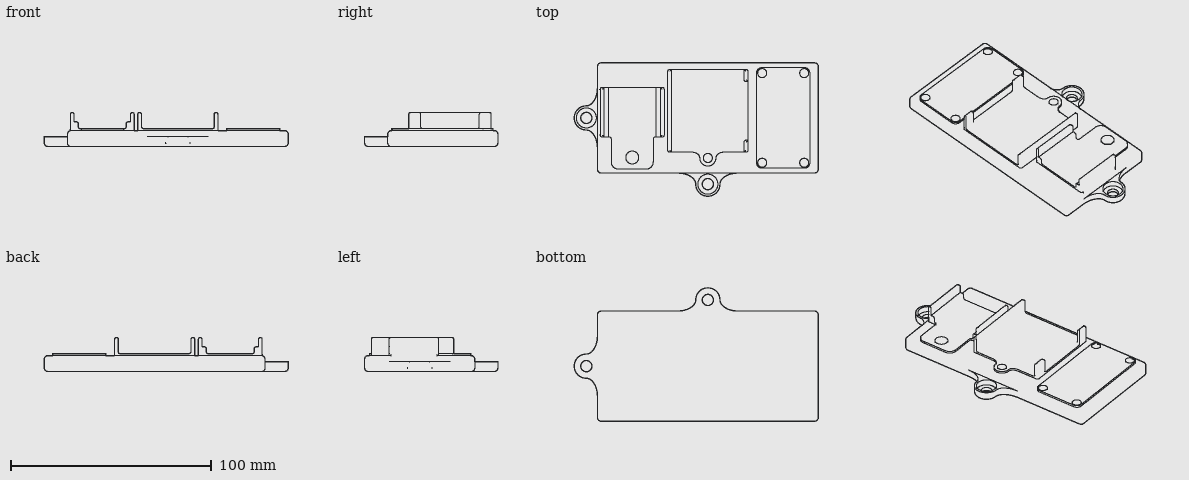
import cadquery as cq
import math

PLATE_LENGTH = 110.0
PLATE_WIDTH = 54.9
PLATE_HEIGHT = 8.0
PLATE_ROUND = 2.0

LUG_RADIUS = 6.1
LUG_REACH = 5.5
LUG_HALF_ROOT = 15.1
LUG_HEIGHT = 5.0
LUG_HOLE_DIAMETER = 5.5
LUG_COUNTERBORE_DIAMETER = 10.0
LUG_COUNTERBORE_DEPTH = 3.0
SIDE_LUG_Y = PLATE_WIDTH / 2
FRONT_LUG_X = PLATE_LENGTH / 2

PAD_TOP = 9.0
PAD_BASE = PLATE_HEIGHT - PLATE_ROUND
WALL_TOP = 17.0
WALL_THICKNESS = 2.0
EDGE_ROUND = 0.96
PILOT_DIAMETER = 4.5
PILOT_DEPTH = 6.1

CLIP_CENTER_X = 17.4
CLIP_HALF_WIDTH = 15.9
CLIP_Y_MIN = 18.0
CLIP_Y_MAX = 42.6
LEDGE_WIDTH = 2.1
LEDGE_TOP = 12.4
TONGUE_WIDTH = 20.9
TONGUE_CORNER_RADIUS = 3.6
TONGUE_NOTCH_RADIUS = 1.0
TONGUE_HOLE_DIAMETER = 6.5
TONGUE_HOLE_Y = 7.8

TRAY_X_MIN = 35.0
TRAY_X_MAX = 75.0
TRAY_Y_MIN = 10.5
TRAY_Y_MAX = 51.5
POST_LENGTH = 6.0
TAB_RADIUS = 4.0
TAB_REACH = 2.9
TAB_HALF_ROOT = 8.0
TAB_X = PLATE_LENGTH / 2

SCREW_PAD_CENTER_X = 92.5
SCREW_PAD_LENGTH = 26.5
SCREW_PAD_WIDTH = 50.0
SCREW_SPACING_X = 20.9
SCREW_SPACING_Y = 44.6
SCREW_PAD_CORNER_RADIUS = 2.7


def block(x_min, x_max, y_min, y_max, z_min, z_max):
    return (
        cq.Workplane("XY", origin=(x_min, y_min, z_min))
        .box(x_max - x_min, y_max - y_min, z_max - z_min, centered=False)
    )


def drill(center, diameter, z_min, z_max):
    return (
        cq.Workplane("XY", origin=(*center, z_min))
        .circle(diameter / 2)
        .extrude(z_max - z_min)
    )


def flared_lug(radius, reach, half_root, inset, height):
    """Round-ended lug reaching to -Y from Y = 0, with quarter-ellipse flares at its root.

    The inset is how far it continues to +Y, inside the body it joins.
    """
    flare_x = half_root - radius
    return (
        cq.Workplane("XY")
        .moveTo(-half_root, inset)
        .lineTo(-half_root, 0)
        .ellipseArc(flare_x, reach, 0, 90, sense=-1, startAtCurrent=True)
        .threePointArc((0, -reach - radius), (radius, -reach))
        .ellipseArc(flare_x, reach, 90, 180, sense=-1, startAtCurrent=True)
        .lineTo(half_root, inset)
        .close()
        .extrude(height)
    )


def make_base():
    plate = block(0, PLATE_LENGTH, 0, PLATE_WIDTH, 0, PLATE_HEIGHT)
    plate = plate.edges("|Z").fillet(PLATE_ROUND).faces(">Z").edges().fillet(PLATE_ROUND)
    lug = flared_lug(LUG_RADIUS, LUG_REACH, LUG_HALF_ROOT, LUG_RADIUS, LUG_HEIGHT)
    front_lug = lug.translate((FRONT_LUG_X, 0, 0))
    side_lug = lug.rotate((0, 0, 0), (0, 0, 1), -90).translate((0, SIDE_LUG_Y, 0))
    base = plate.union(front_lug).union(side_lug)
    base = base.faces("<Z").edges().fillet(PLATE_ROUND)
    counterbore_floor = LUG_HEIGHT - LUG_COUNTERBORE_DEPTH
    for center in ((FRONT_LUG_X, -LUG_REACH), (-LUG_REACH, SIDE_LUG_Y)):
        base = base.cut(drill(center, LUG_HOLE_DIAMETER, 0, LUG_HEIGHT))
        base = base.cut(drill(center, LUG_COUNTERBORE_DIAMETER, counterbore_floor, LUG_HEIGHT))
    return base


def make_wall(x_min, y_min, y_max):
    """Upright wall along Y with rounded outer (-X) corners and a rounded top."""
    wall = block(x_min, x_min + WALL_THICKNESS, y_min, y_max, PAD_BASE, WALL_TOP)
    return wall.edges("|Z and <X").fillet(EDGE_ROUND).faces(">Z").edges().fillet(EDGE_ROUND)


def make_ledge(x_wall):
    """Ledge along the inner face of the left clip wall: rounded top, hollow root on the pad."""
    x_face = x_wall + LEDGE_WIDTH
    bulge = EDGE_ROUND * math.sqrt(0.5)
    round_x = x_face - EDGE_ROUND
    round_z = LEDGE_TOP - EDGE_ROUND
    root_x = x_face + EDGE_ROUND
    root_z = PAD_TOP + EDGE_ROUND
    return (
        cq.Workplane("XZ", origin=(0, CLIP_Y_MAX, 0))
        .moveTo(x_wall, PAD_BASE)
        .lineTo(x_wall, LEDGE_TOP)
        .lineTo(round_x, LEDGE_TOP)
        .threePointArc((round_x + bulge, round_z + bulge), (x_face, round_z))
        .lineTo(x_face, root_z)
        .threePointArc((root_x - bulge, root_z - bulge), (root_x, PAD_TOP))
        .lineTo(root_x, PAD_BASE)
        .close()
        .extrude(CLIP_Y_MAX - CLIP_Y_MIN)
    )


def make_clip_pad():
    x_min = CLIP_CENTER_X - CLIP_HALF_WIDTH
    x_max = CLIP_CENTER_X + CLIP_HALF_WIDTH
    x_wall = x_min + WALL_THICKNESS
    wall = make_wall(x_min, CLIP_Y_MIN, CLIP_Y_MAX)
    side = wall.union(make_ledge(x_wall))
    other_side = side.mirror("YZ", (CLIP_CENTER_X, 0, 0))

    tongue_x_min = CLIP_CENTER_X - TONGUE_WIDTH / 2
    tongue_x_max = CLIP_CENTER_X + TONGUE_WIDTH / 2
    y_middle = (CLIP_Y_MIN + CLIP_Y_MAX) / 2
    tongue = block(tongue_x_min, tongue_x_max, PLATE_ROUND, y_middle, PAD_BASE, PAD_TOP)
    tongue = tongue.edges("|Z and <Y").fillet(TONGUE_CORNER_RADIUS)
    floor = block(x_wall, x_max - WALL_THICKNESS, CLIP_Y_MIN, CLIP_Y_MAX, PAD_BASE, PAD_TOP)
    floor = floor.union(tongue)
    notches = cq.selectors.BoxSelector(
        (tongue_x_min - TONGUE_NOTCH_RADIUS, CLIP_Y_MIN - TONGUE_NOTCH_RADIUS, PAD_BASE),
        (tongue_x_max + TONGUE_NOTCH_RADIUS, CLIP_Y_MIN + TONGUE_NOTCH_RADIUS, PAD_TOP),
    )
    floor = floor.edges("|Z").edges(notches).fillet(TONGUE_NOTCH_RADIUS)
    return floor.union(side).union(other_side)


def make_wall_foot():
    """Hollow fillet from the left clip wall down to the rounded edge of the plate."""
    x_wall = CLIP_CENTER_X - CLIP_HALF_WIDTH
    x_center = x_wall - EDGE_ROUND
    x_gap = PLATE_ROUND - x_center
    z_gap = math.sqrt((PLATE_ROUND + EDGE_ROUND) ** 2 - x_gap ** 2)
    z_center = PAD_BASE + z_gap
    fillet_share = EDGE_ROUND / (PLATE_ROUND + EDGE_ROUND)
    x_touch = x_center + x_gap * fillet_share
    z_touch = z_center - z_gap * fillet_share
    middle_angle = -math.atan2(z_gap, x_gap) / 2
    x_middle = x_center + EDGE_ROUND * math.cos(middle_angle)
    z_middle = z_center + EDGE_ROUND * math.sin(middle_angle)
    return (
        cq.Workplane("XZ", origin=(0, CLIP_Y_MAX - EDGE_ROUND, 0))
        .moveTo(x_wall, z_center)
        .threePointArc((x_middle, z_middle), (x_touch, z_touch))
        .lineTo(PLATE_ROUND, PAD_BASE)
        .lineTo(PLATE_ROUND, z_center)
        .close()
        .extrude(CLIP_Y_MAX - CLIP_Y_MIN - 2 * EDGE_ROUND)
    )


def make_post():
    """Post in the upper right corner of the tray, with its free inner edge rounded."""
    x_min = TRAY_X_MAX - WALL_THICKNESS
    y_min = TRAY_Y_MAX - POST_LENGTH
    post = block(x_min, TRAY_X_MAX, y_min, TRAY_Y_MAX, PAD_BASE, WALL_TOP)
    post = post.edges("|Z and ((<X and <Y) or (>X and >Y))").fillet(EDGE_ROUND)
    return post.faces(">Z").edges().fillet(EDGE_ROUND)


def make_tray():
    tray = block(TRAY_X_MIN, TRAY_X_MAX, TRAY_Y_MIN, TRAY_Y_MAX, PAD_BASE, PAD_TOP)
    tray = tray.edges("|Z").fillet(EDGE_ROUND)
    x_wall = TRAY_X_MIN + WALL_THICKNESS
    wall = make_wall(TRAY_X_MIN, TRAY_Y_MIN, TRAY_Y_MAX)
    post = make_post()
    tray_middle = ((TRAY_X_MIN + TRAY_X_MAX) / 2, (TRAY_Y_MIN + TRAY_Y_MAX) / 2, 0)
    tray = tray.union(wall).union(post).union(post.mirror("XZ", tray_middle))
    roots = cq.selectors.BoxSelector(
        (x_wall - EDGE_ROUND / 2, TRAY_Y_MIN + EDGE_ROUND, PAD_TOP - EDGE_ROUND),
        (TRAY_X_MAX - EDGE_ROUND / 2, TRAY_Y_MAX - EDGE_ROUND, PAD_TOP + EDGE_ROUND),
    )
    tray = tray.edges(roots).fillet(EDGE_ROUND)
    tab = flared_lug(TAB_RADIUS, TAB_REACH, TAB_HALF_ROOT, TAB_RADIUS, PAD_TOP - PAD_BASE)
    return tray.union(tab.translate((TAB_X, TRAY_Y_MIN, PAD_BASE)))


def make_screw_pad():
    return (
        cq.Workplane("XY", origin=(SCREW_PAD_CENTER_X, PLATE_WIDTH / 2, PAD_BASE))
        .rect(SCREW_PAD_LENGTH, SCREW_PAD_WIDTH)
        .extrude(PAD_TOP - PAD_BASE)
        .edges("|Z")
        .fillet(SCREW_PAD_CORNER_RADIUS)
    )


def blind_holes():
    floor = PAD_TOP - PILOT_DEPTH
    holes = drill((CLIP_CENTER_X, TONGUE_HOLE_Y), TONGUE_HOLE_DIAMETER, floor, PAD_TOP)
    holes = holes.add(drill((TAB_X, TRAY_Y_MIN - TAB_REACH), PILOT_DIAMETER, floor, PAD_TOP))
    return holes.add(
        cq.Workplane("XY", origin=(SCREW_PAD_CENTER_X, PLATE_WIDTH / 2, floor))
        .rarray(SCREW_SPACING_X, SCREW_SPACING_Y, 2, 2)
        .circle(PILOT_DIAMETER / 2)
        .extrude(PILOT_DEPTH)
    ).combine()


result = (
    make_base()
    .union(make_clip_pad())
    .union(make_wall_foot())
    .union(make_tray())
    .union(make_screw_pad())
    .cut(blind_holes())
)